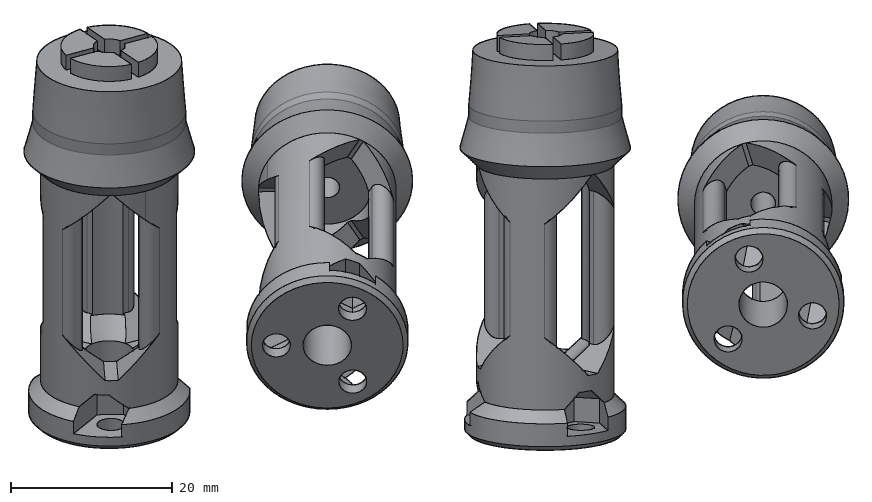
import cadquery as cq
import math

total_height = 50.8
tooth_height = 2.05
collar_bottom = 34.3
collar_rim_z = 36.3
band_bottom = 40.35
band_top = 41.85
cap_z = total_height - tooth_height

barrel_radius = 8.55
foot_radius = 10.0
rim_diameter = 21.2
rim_radius = rim_diameter / 2
band_radius = 9.5
cap_radius = 9.0

foot_chamfer = 0.6
foot_rim_z = 3.5
foot_top = 4.95

bore_radius = 5.5
drain_radius = 3.0
outlet_radius = 1.5
chamber_floor = 8.9
chamber_top = 34.8

crown_radius = 6.0
crown_inner_radius = 2.0
crown_slot_width = 1.0

window_count = 3
first_azimuth = -150.0
window_sill_half_width = 0.8
window_half_width = 3.5
window_edge_radius = 1.45
window_straight_top = 28.55

nut_across_flats = 5.7
nut_offset = 6.3
pocket_floor = 1.85
pocket_roof_height = 2.0
screw_radius = 1.75
pocket_turn = -30.0


def turned_body():
    """Foot, barrel, collar and crown disc as one solid of revolution."""
    outline = [
        (0, 0),
        (foot_radius - foot_chamfer, 0),
        (foot_radius, foot_chamfer),
        (foot_radius, foot_rim_z),
        (barrel_radius, foot_top),
        (barrel_radius, collar_bottom),
        (rim_radius, collar_rim_z),
        (band_radius, band_bottom),
        (band_radius, band_top),
        (cap_radius, cap_z),
        (crown_radius, cap_z),
        (crown_radius, total_height),
        (0, total_height),
    ]
    return cq.Workplane("XZ").polyline(outline).close().revolve(360, (0, 0), (0, 1))


def inner_bore():
    """Drain hole, 45 degree cone, cylindrical chamber and narrow outlet."""
    cone_top = chamber_floor + bore_radius - drain_radius
    outline = [
        (0, 0),
        (drain_radius, 0),
        (drain_radius, chamber_floor),
        (bore_radius, cone_top),
        (bore_radius, chamber_top),
        (outlet_radius, chamber_top),
        (outlet_radius, total_height),
        (0, total_height),
    ]
    return cq.Workplane("XZ").polyline(outline).close().revolve(360, (0, 0), (0, 1))


def crown_gaps():
    """Cross slots and centre recess that split the crown into four teeth."""
    base = cq.Workplane("XY").workplane(offset=cap_z)
    gaps = base.circle(crown_inner_radius).extrude(tooth_height)
    slot_length = 2 * rim_radius
    slot = base.rect(slot_length, crown_slot_width).extrude(tooth_height)
    for angle in (0, 90):
        gaps = gaps.union(slot.rotate((0, 0, 0), (0, 0, 1), angle))
    return gaps


def window():
    """Window facing +X: 45 degree sill and arch, side walls rounded into the barrel."""
    centre_y = window_half_width + window_edge_radius
    centre_radius = barrel_radius - window_edge_radius
    centre_x = math.sqrt(centre_radius**2 - centre_y**2)
    edge_x = centre_x * barrel_radius / centre_radius
    edge_y = centre_y * barrel_radius / centre_radius
    mid_angle = (math.atan2(centre_y, centre_x) - math.pi / 2) / 2
    mid_x = centre_x + window_edge_radius * math.cos(mid_angle)
    mid_y = centre_y + window_edge_radius * math.sin(mid_angle)

    plan = (
        cq.Workplane("XY")
        .moveTo(0, -window_half_width)
        .lineTo(centre_x, -window_half_width)
        .threePointArc((mid_x, -mid_y), (edge_x, -edge_y))
        .lineTo(rim_radius, -edge_y)
        .lineTo(rim_radius, edge_y)
        .lineTo(edge_x, edge_y)
        .threePointArc((mid_x, mid_y), (centre_x, window_half_width))
        .lineTo(0, window_half_width)
        .close()
        .extrude(total_height)
    )

    straight_bottom = chamber_floor + edge_y - window_sill_half_width
    apex_half_width = edge_y - (chamber_top - window_straight_top)
    face = [
        (-window_sill_half_width, chamber_floor),
        (window_sill_half_width, chamber_floor),
        (edge_y, straight_bottom),
        (edge_y, window_straight_top),
        (apex_half_width, chamber_top),
        (-apex_half_width, chamber_top),
        (-edge_y, window_straight_top),
        (-edge_y, straight_bottom),
    ]
    opening = cq.Workplane("YZ").polyline(face).close().extrude(rim_radius)
    collar = cq.Workplane("XY").workplane(offset=collar_bottom).circle(rim_radius).extrude(total_height)
    return opening.intersect(plan).cut(collar)


def nut_pocket():
    """Hexagonal pocket at +X, open to the side, with a 45 degree roof and a screw hole."""
    half_width = nut_across_flats / 2
    corner = half_width / math.cos(math.radians(30))
    reach = rim_radius
    outline = [
        (-corner, 0),
        (-corner / 2, -half_width),
        (reach, -half_width),
        (reach, half_width),
        (-corner / 2, half_width),
    ]
    walls = cq.Workplane("XY").workplane(offset=pocket_floor).polyline(outline).close()
    pocket = walls.extrude(foot_top - pocket_floor)
    roof = cq.Workplane("XY").workplane(offset=foot_top).polyline(outline).close()
    pocket = pocket.union(roof.extrude(pocket_roof_height, taper=45))
    pocket = pocket.union(cq.Workplane("XY").circle(screw_radius).extrude(foot_top))
    return pocket.rotate((0, 0, 0), (0, 0, 1), pocket_turn).translate((nut_offset, 0, 0))


result = turned_body().cut(inner_bore()).cut(crown_gaps())
for index in range(window_count):
    azimuth = first_azimuth + index * 360 / window_count
    for cutter in (window(), nut_pocket()):
        result = result.cut(cutter.rotate((0, 0, 0), (0, 0, 1), azimuth))